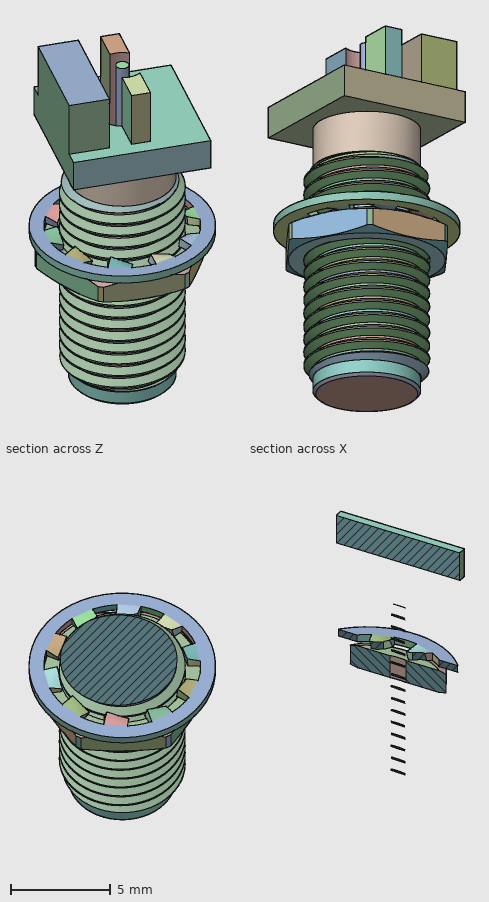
import cadquery as cq
import math


total_height = 18.77
barrel_diameter = 5.44
nose_chamfer = 0.15
flange_side = 7.2
flange_bottom = 14.18
flange_thickness = 1.65
flange_top = flange_bottom + flange_thickness

pin_diameter = 0.66
pin_top = total_height
well_diameter = 2.29
well_depth = flange_thickness
leg_span = 5.62
leg_height = total_height - flange_top
rib_front = -pin_diameter / 2
rib_thickness = 0.99
block_front = -flange_side / 2
block_thickness = 2.11

thread_diameter = 6.35
thread_pitch = 25.4 / 36
thread_root_diameter = 5.5
thread_bottom = 0.82
thread_top = 12.04
crest_flat = thread_pitch / 8
flank_angle = 30
ridge_start = 0.348
ridge_start_angle = 180
ridge_turns = 17.5
ridge_embed = 0.05
relief_radius = 3.6

nut_across_flats = 8.0
hex_half_angle = 30
nut_corner_diameter = 9.07
nut_face_diameter = 7.9
nut_face_drop = 0.22
nut_bottom = 7.18
nut_thickness = 1.32
nut_bore_clearance = 0.02
nut_top = nut_bottom + nut_thickness
nut_bore_diameter = thread_diameter + nut_bore_clearance

washer_diameter = 9.4
washer_inner_diameter = 7.9
washer_thickness = 0.42
washer_bottom = 8.71
washer_middle = washer_bottom + washer_thickness / 2
tooth_count = 10
tooth_width = 1.2
tooth_tip_radius = 3.25
tooth_twist = 21
tooth_root_radius = math.sqrt((washer_inner_diameter / 2) ** 2 - (tooth_width / 2) ** 2)
tooth_embed = 0.2


def cylinder(diameter, bottom, top):
    return cq.Workplane("XY").workplane(offset=bottom).circle(diameter / 2).extrude(top - bottom)


def revolve_outline(points):
    return cq.Workplane("XZ").polyline(points).close().revolve(360, (0, 0, 0), (0, 1, 0))


def thread_ridge():
    """Right-hand helical ridge with a flat crest, its foot sunk into the thread root."""
    crest_radius = thread_diameter / 2
    foot_radius = thread_root_diameter / 2 - ridge_embed
    half_crest = crest_flat / 2
    half_foot = half_crest + (crest_radius - foot_radius) * math.tan(math.radians(flank_angle))
    helix = cq.Wire.makeHelix(thread_pitch, ridge_turns * thread_pitch, foot_radius)
    profile = cq.Workplane("XZ").polyline([
        (foot_radius, -half_foot),
        (crest_radius, -half_crest),
        (crest_radius, half_crest),
        (foot_radius, half_foot),
    ]).close()
    ridge = profile.sweep(cq.Workplane(helix), isFrenet=True)
    return ridge.rotate((0, 0, 0), (0, 0, 1), ridge_start_angle).translate((0, 0, ridge_start))


def front_relief():
    """Ring turned away below the thread: plain nose, its end chamfer and the thread lead-in."""
    nose_radius = barrel_diameter / 2
    return revolve_outline([
        (nose_radius - nose_chamfer, 0),
        (nose_radius, nose_chamfer),
        (nose_radius, thread_bottom),
        (relief_radius, thread_bottom + relief_radius - nose_radius),
        (relief_radius, 0),
    ])


def rear_relief():
    """Ring turned away above the thread: plain neck and the 45 degree end of the thread."""
    neck_radius = barrel_diameter / 2
    return revolve_outline([
        (neck_radius, flange_bottom),
        (neck_radius, thread_top),
        (relief_radius, thread_top - relief_radius + neck_radius),
        (relief_radius, flange_bottom),
    ])


def threaded_barrel():
    stock = cylinder(thread_root_diameter, 0, flange_bottom).union(thread_ridge())
    return stock.cut(front_relief()).cut(rear_relief())


def board_leg(front, thickness):
    leg = cq.Workplane("XY").box(leg_span, thickness, leg_height, centered=(True, False, False))
    return leg.translate((0, front, flange_top))


def make_connector():
    flange = cq.Workplane("XY").workplane(offset=flange_bottom).rect(flange_side, flange_side)
    flange = flange.extrude(flange_thickness)
    legs = board_leg(rib_front, rib_thickness).union(board_leg(block_front, block_thickness))
    well_floor = flange_top - well_depth
    well = cylinder(well_diameter, well_floor, total_height)
    pin = cylinder(pin_diameter, well_floor, pin_top)
    head = flange.union(legs).cut(well)
    return threaded_barrel().union(head).union(pin)


def make_nut():
    hexagon_diameter = nut_across_flats / math.cos(math.radians(hex_half_angle))
    hexagon = cq.Workplane("XY").workplane(offset=nut_bottom).polygon(6, hexagon_diameter)
    hexagon = hexagon.extrude(nut_thickness).rotate((0, 0, 0), (0, 0, 1), hex_half_angle)
    face_radius = nut_face_diameter / 2
    corner_radius = nut_corner_diameter / 2
    turned = revolve_outline([
        (0, nut_bottom),
        (face_radius, nut_bottom),
        (corner_radius, nut_bottom + nut_face_drop),
        (corner_radius, nut_top - nut_face_drop),
        (face_radius, nut_top),
        (0, nut_top),
    ])
    return hexagon.intersect(turned).cut(cylinder(nut_bore_diameter, nut_bottom, nut_top))


def washer_tooth():
    """One tooth pointing inward along X, level at the ring and twisted at its tip."""
    root_plane = cq.Plane(origin=(tooth_root_radius, 0, washer_middle), xDir=(0, 1, 0), normal=(-1, 0, 0))
    length = tooth_root_radius - tooth_tip_radius
    twisted = (
        cq.Workplane(root_plane)
        .rect(tooth_width, washer_thickness)
        .workplane(offset=length)
        .transformed(rotate=(0, 0, tooth_twist))
        .rect(tooth_width, washer_thickness)
        .loft(ruled=True)
    )
    embedded = cq.Workplane(root_plane).rect(tooth_width, washer_thickness).extrude(-tooth_embed)
    return twisted.union(embedded)


def make_washer():
    washer = cylinder(washer_diameter, washer_bottom, washer_bottom + washer_thickness)
    washer = washer.cut(cylinder(washer_inner_diameter, washer_bottom, washer_bottom + washer_thickness))
    tooth = washer_tooth()
    tooth_step = 360 / tooth_count
    for index in range(tooth_count):
        angle = (index + 0.5) * tooth_step
        washer = washer.union(tooth.rotate((0, 0, 0), (0, 0, 1), angle))
    return washer


connector = make_connector()
nut = make_nut()
washer = make_washer()

result = cq.Compound.makeCompound([connector.val(), nut.val(), washer.val()])